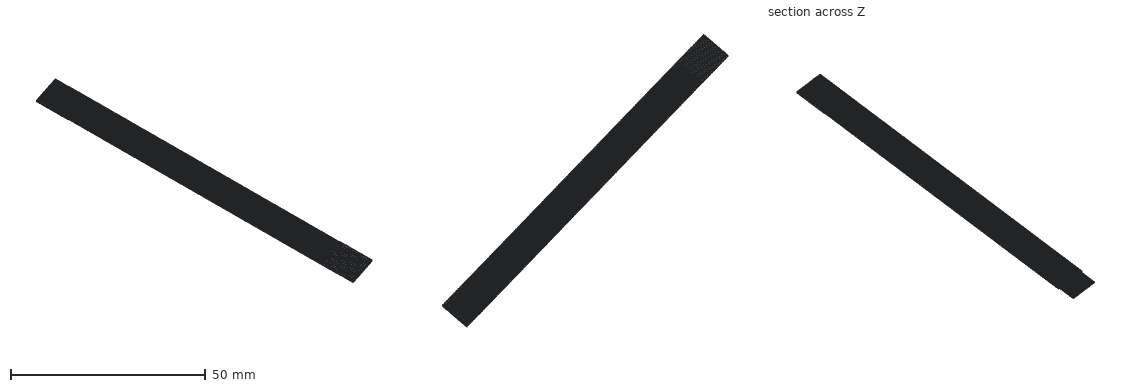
import cadquery as cq


cable_length = 100
total_thickness = 0.59
conductor_count = 16
conductor_pitch = 0.5
conductor_width = 0.3
conductor_thickness = 0.05
film_thickness = 0.045
contact_length = 5
stiffener_length = 10

cable_width = (conductor_count + 1) * conductor_pitch
laminate_thickness = conductor_thickness + 2 * film_thickness
stiffener_thickness = (total_thickness - laminate_thickness) / 2
covered_length = cable_length - contact_length

lower_film_z = stiffener_thickness
conductor_z = lower_film_z + film_thickness
upper_film_z = conductor_z + conductor_thickness
upper_stiffener_z = upper_film_z + film_thickness


def full_width_layer(start_x, length, bottom_z, thickness):
    """Flat strip across the whole cable width."""
    strip = cq.Workplane("XY").box(length, cable_width, thickness, centered=(False, True, False))
    return strip.translate((start_x, 0, bottom_z))


def conductors():
    """Evenly spaced conductors running the whole length, with gaps between them."""
    return (
        cq.Workplane("XY")
        .workplane(offset=conductor_z)
        .center(cable_length / 2, 0)
        .rarray(1, conductor_pitch, 1, conductor_count)
        .rect(cable_length, conductor_width)
        .extrude(conductor_thickness)
    )


upper_film = full_width_layer(contact_length, covered_length, upper_film_z, film_thickness)
lower_film = full_width_layer(0, covered_length, lower_film_z, film_thickness)

lower_stiffener = full_width_layer(0, stiffener_length, 0, stiffener_thickness)
upper_stiffener = full_width_layer(
    cable_length - stiffener_length, stiffener_length, upper_stiffener_z, stiffener_thickness
)

result = (
    lower_film.union(conductors())
    .union(upper_film)
    .union(lower_stiffener)
    .union(upper_stiffener)
)